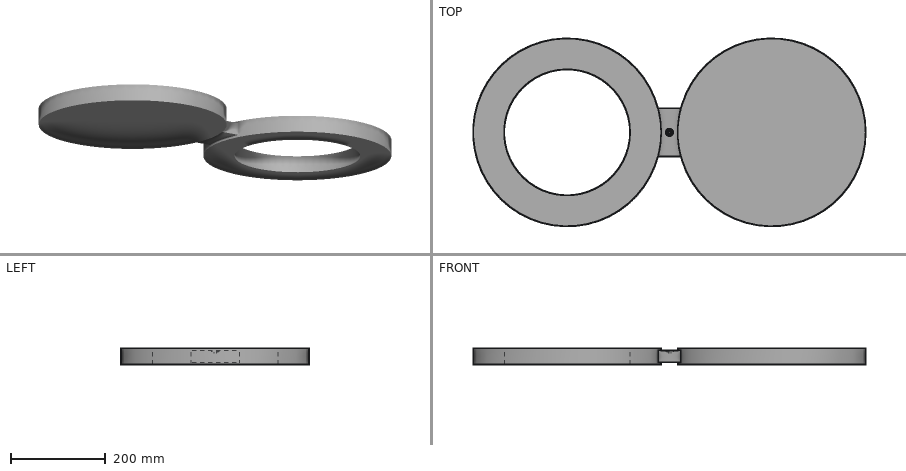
import cadquery as cq

overall_length = 828.5
disc_diameter = 397.0
disc_thickness = 35.0

ring_bore_diameter = 265.0
web_width = 102.0
web_thickness = 26.0

recess_diameters = (16.0, 11.0, 6.0)
recess_step_depth = 2.0

disc_offset = (overall_length - disc_diameter) / 2


def disc(center_x, diameter):
    """Round plate of full thickness, centred on the XY plane."""
    return (
        cq.Workplane("XY")
        .center(center_x, 0)
        .circle(diameter / 2)
        .extrude(disc_thickness / 2, both=True)
    )


def connecting_web():
    """Flat bar between the discs, long enough to bury its square ends in both."""
    gap = overall_length - 2 * disc_diameter
    reach_into_disc = (disc_diameter - ring_bore_diameter) / 4
    return cq.Workplane("XY").box(gap + 2 * reach_into_disc, web_width, web_thickness)


def cut_stepped_recess(body):
    """Cut concentric blind steps, each narrower and deeper than the last."""
    web_top = cq.Workplane("XY").workplane(offset=web_thickness / 2)
    for step, diameter in enumerate(recess_diameters, start=1):
        body = body.cut(web_top.circle(diameter / 2).extrude(-step * recess_step_depth))
    return body


ring_side = disc(-disc_offset, disc_diameter)
blank_side = disc(disc_offset, disc_diameter)
ring_bore = disc(-disc_offset, ring_bore_diameter)

body = ring_side.union(blank_side).union(connecting_web()).cut(ring_bore)
result = cut_stepped_recess(body)